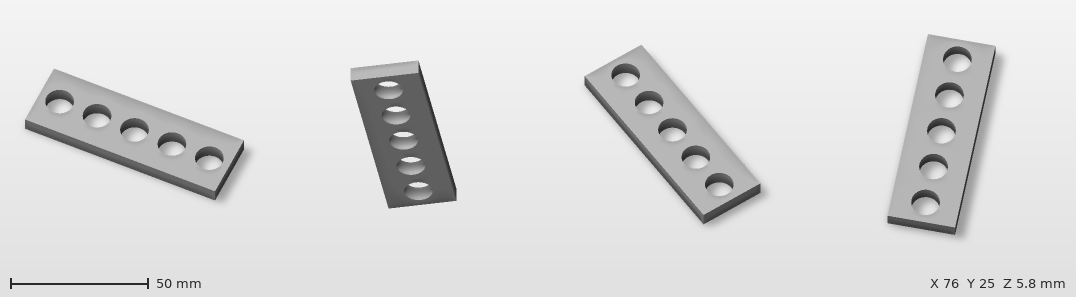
import cadquery as cq

length = 76.0
width = 25.0
thickness = 5.8

hole_count = 5
hole_diameter = 10.4
hole_pitch = 15.0

plate = cq.Workplane("XY").box(length, width, thickness)

result = (
    plate.faces(">Z")
    .workplane()
    .rarray(hole_pitch, 0.75, hole_count, 1)
    .hole(hole_diameter)
)